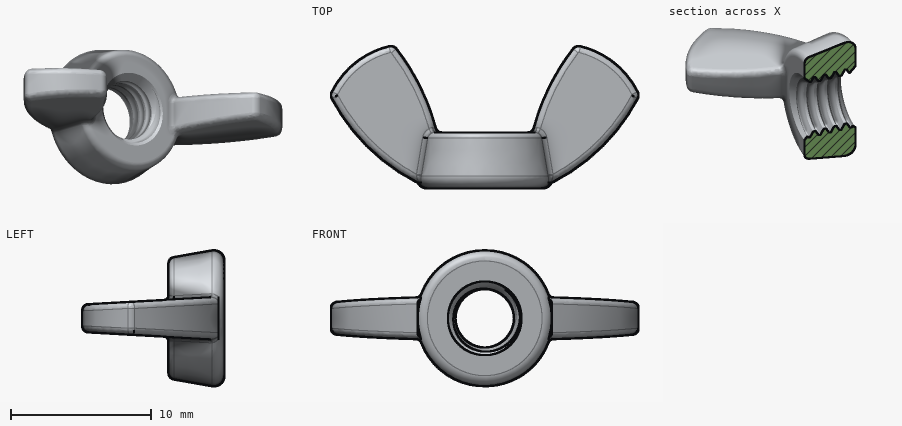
import cadquery as cq
import math


HUB_HEIGHT = 4.0
HUB_RADIUS = 9.7 / 2
HUB_TAPER = 10.0
RIM_ROUND = 0.77
HUB_TOP_ROUND = 0.5

WING_APEX = (6.48, 10.2)
WING_TIP = (11.0, 6.63)
WING_ROOT_TOP = (3.28, 3.5)
WING_ROOT_BOTTOM = (4.8, 0.42)
WING_INNER_MID = (4.4, 6.85)
WING_OUTER_MID = (9.15, 9.0)
WING_LOWER_MID = (8.25, 2.89)
WING_ROOT_X = 2.95

WING_BASE_THICKNESS = 3.1
WING_TAPER = 3.2
WING_CORNER_ROUND = 0.53
WING_EDGE_ROUND = 0.48
ROOT_ROUND = 0.4

BORE_RADIUS = 4.14 / 2
THREAD_DEPTH = 0.44
THREAD_PITCH = 0.8
THREAD_ANGLE = 60.0
THREAD_ROOT_WIDTH = 0.1
THREAD_PHASE_HEIGHT = 0.185
BORE_OVERLAP = 0.07
COUNTERSINK_RADIUS = 2.63
COUNTERSINK_ANGLE = 90.0


def turn(profile):
    """Solid of revolution about the bore from (radius, height) points.

    The profile lies on the -X side, so its seam stays clear of the thread start on +X.
    """
    points = [(-radius, height) for radius, height in profile]
    return cq.Workplane("XY").polyline(points).close().revolve(360, (0, 0, 0), (0, 1, 0))


def make_hub():
    """Cone narrowing upward, with a large round at the rim and a small one at the top."""
    taper = math.radians(HUB_TAPER)
    face_radius = HUB_RADIUS - RIM_ROUND
    base_radius = face_radius + RIM_ROUND * (1 + math.sin(taper)) / math.cos(taper)
    top_radius = base_radius - HUB_HEIGHT * math.tan(taper)
    hub = turn([(0, 0), (base_radius, 0), (top_radius, HUB_HEIGHT), (0, HUB_HEIGHT)])
    hub = hub.faces("<Y").edges().fillet(RIM_ROUND)
    return hub.faces(">Y").edges().fillet(HUB_TOP_ROUND)


def make_wing():
    """Right-hand wing with bowed sides, thinning away from the bearing face."""
    half_base = WING_BASE_THICKNESS / 2
    apex_height = WING_APEX[1]
    half_top = half_base - apex_height * math.tan(math.radians(WING_TAPER))
    blank = (
        cq.Workplane("XY")
        .moveTo(*WING_ROOT_TOP)
        .threePointArc(WING_INNER_MID, WING_APEX)
        .threePointArc(WING_OUTER_MID, WING_TIP)
        .threePointArc(WING_LOWER_MID, WING_ROOT_BOTTOM)
        .lineTo(WING_ROOT_X, WING_ROOT_BOTTOM[1])
        .lineTo(WING_ROOT_X, WING_ROOT_TOP[1])
        .close()
        .extrude(half_base, both=True)
        .edges("|Z")
        .edges(">X or >Y")
        .fillet(WING_CORNER_ROUND)
    )
    wedge = (
        cq.Workplane("YZ")
        .polyline([(0, -half_base), (apex_height, -half_top), (apex_height, half_top), (0, half_base)])
        .close()
        .extrude(WING_TIP[0])
    )
    return blank.intersect(wedge).edges("not %LINE").fillet(WING_EDGE_ROUND)


def round_wing_root(nut, side):
    """Blend a wing into the hub along its two broad faces and over the hub top."""
    rim_tangent = RIM_ROUND * (1 + math.sin(math.radians(HUB_TAPER)))
    half_thickness = WING_BASE_THICKNESS / 2
    root_zone = cq.selectors.BoxSelector(
        (side * WING_ROOT_X, rim_tangent, -half_thickness),
        (side * HUB_RADIUS, HUB_HEIGHT + ROOT_ROUND, half_thickness),
    )
    return nut.edges(root_zone).fillet(ROOT_ROUND)


def make_plain_bore():
    """Straight cylinder through the hub, at the thread crests."""
    return turn([(0, 0), (BORE_RADIUS, 0), (BORE_RADIUS, HUB_HEIGHT), (0, HUB_HEIGHT)])


def make_countersinks():
    """Bore-sized plug that flares into a countersink at each end."""
    sink_depth = (COUNTERSINK_RADIUS - BORE_RADIUS) / math.tan(math.radians(COUNTERSINK_ANGLE / 2))
    return turn(
        [
            (0, 0),
            (COUNTERSINK_RADIUS, 0),
            (BORE_RADIUS, sink_depth),
            (BORE_RADIUS, HUB_HEIGHT - sink_depth),
            (COUNTERSINK_RADIUS, HUB_HEIGHT),
            (0, HUB_HEIGHT),
        ]
    )


def make_thread_groove():
    """Right-hand helical V-groove with a flat root, overrunning both hub faces by one pitch."""
    flank_slope = math.tan(math.radians(THREAD_ANGLE / 2))
    half_root = THREAD_ROOT_WIDTH / 2
    half_mouth = half_root + (THREAD_DEPTH + BORE_OVERLAP) * flank_slope
    inner_radius = BORE_RADIUS - BORE_OVERLAP
    outer_radius = BORE_RADIUS + THREAD_DEPTH
    helix = cq.Wire.makeHelix(THREAD_PITCH, HUB_HEIGHT + 2 * THREAD_PITCH, BORE_RADIUS)
    groove = (
        cq.Workplane("XZ")
        .polyline(
            [
                (inner_radius, -half_mouth),
                (outer_radius, -half_root),
                (outer_radius, half_root),
                (inner_radius, half_mouth),
            ]
        )
        .close()
        .sweep(cq.Workplane(helix), isFrenet=True)
    )
    start_height = THREAD_PHASE_HEIGHT - THREAD_PITCH
    return groove.rotate((0, 0, 0), (1, 0, 0), -90).translate((0, start_height, 0))


right_wing = make_wing()
nut = make_hub().union(right_wing).union(right_wing.mirror("YZ"))
nut = round_wing_root(nut, 1)
nut = round_wing_root(nut, -1)
result = nut.cut(make_plain_bore()).cut(make_thread_groove()).cut(make_countersinks())